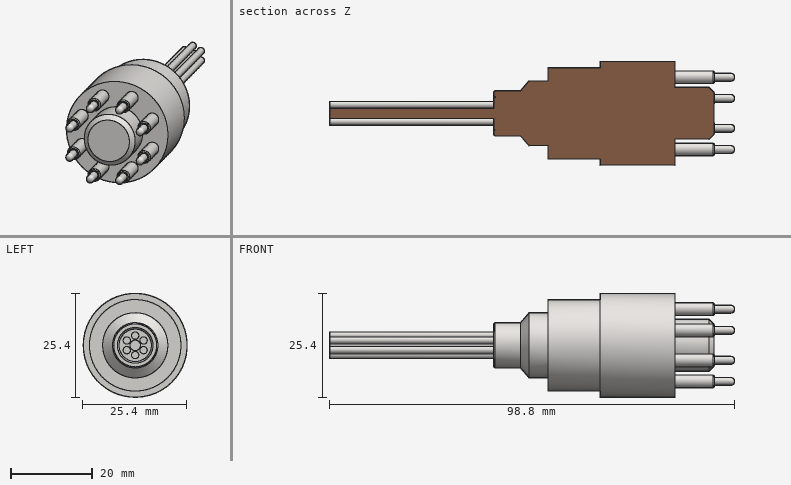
import cadquery as cq
import math

neck_start = 40.0
cone_start = 46.5
cone_end = 48.6
body_start = 53.2
flange_start = 66.0
flange_end = 84.3
pin_shoulder = 93.8
overall_length = 98.8

neck_diameter = 11.1
neck_edge_chamfer = 0.3
collar_diameter = 15.9
body_diameter = 22.3
flange_diameter = 25.4
groove_inner_diameter = 7.9
groove_depth = 0.4

spigot_diameter = 12.7
spigot_end = 93.7
spigot_chamfer = 1.2

pin_count = 8
pin_circle_diameter = 19.1
pin_diameter = 3.2
pin_edge_chamfer = 0.3
pin_tip_diameter = 2.0

wire_count = 6
wire_circle_diameter = 4.7
wire_diameter = 1.8
core_diameter = 2.6


def revolve_about_x(outline):
    """Solid of revolution from (x, radius) points; the first and last points lie on the axis."""
    return cq.Workplane("XY").polyline(outline).close().revolve(360, (0, 0, 0), (1, 0, 0))


def rod(start, end, diameter):
    """Cylinder on the X axis."""
    return cq.Workplane("YZ", origin=(start, 0, 0)).circle(diameter / 2).extrude(end - start)


def ring_of(shape, count, radius, first_angle):
    """Copies of a shape spaced evenly around the X axis; angles start at +Y."""
    copies = []
    for index in range(count):
        angle = math.radians(first_angle + index * 360 / count)
        copies.append(shape.translate((0, radius * math.cos(angle), radius * math.sin(angle))))
    return copies


def make_housing():
    """Stepped housing with a shallow triangular groove around the wires in the neck face."""
    neck_radius = neck_diameter / 2
    groove_radius = groove_inner_diameter / 2
    return revolve_about_x([
        (neck_start, 0),
        (neck_start, groove_radius),
        (neck_start + groove_depth, groove_radius),
        (neck_start, groove_radius + groove_depth),
        (neck_start, neck_radius - neck_edge_chamfer),
        (neck_start + neck_edge_chamfer, neck_radius),
        (cone_start, neck_radius),
        (cone_end, collar_diameter / 2),
        (body_start, collar_diameter / 2),
        (body_start, body_diameter / 2),
        (flange_start, body_diameter / 2),
        (flange_start, flange_diameter / 2),
        (flange_end, flange_diameter / 2),
        (flange_end, 0),
    ])


def make_spigot():
    """Central post between the pins, chamfered at its free end."""
    return rod(flange_end, spigot_end, spigot_diameter).faces(">X").chamfer(spigot_chamfer)


def make_pin():
    """Stepped contact pin with a domed tip."""
    tip_radius = pin_tip_diameter / 2
    dome_start = overall_length - tip_radius
    base = rod(flange_end, pin_shoulder, pin_diameter).faces(">X").chamfer(pin_edge_chamfer)
    stem = rod(pin_shoulder, dome_start, pin_tip_diameter)
    dome = cq.Workplane("XY", origin=(dome_start, 0, 0)).sphere(tip_radius)
    return base.union(stem).union(dome)


wire = rod(0, neck_start, wire_diameter)
core = rod(0, neck_start, core_diameter)

wires = ring_of(wire, wire_count, wire_circle_diameter / 2, 90)
pins = ring_of(make_pin(), pin_count, pin_circle_diameter / 2, 180 / pin_count)

result = make_housing().union(make_spigot()).union(core)
for attachment in wires + pins:
    result = result.union(attachment)